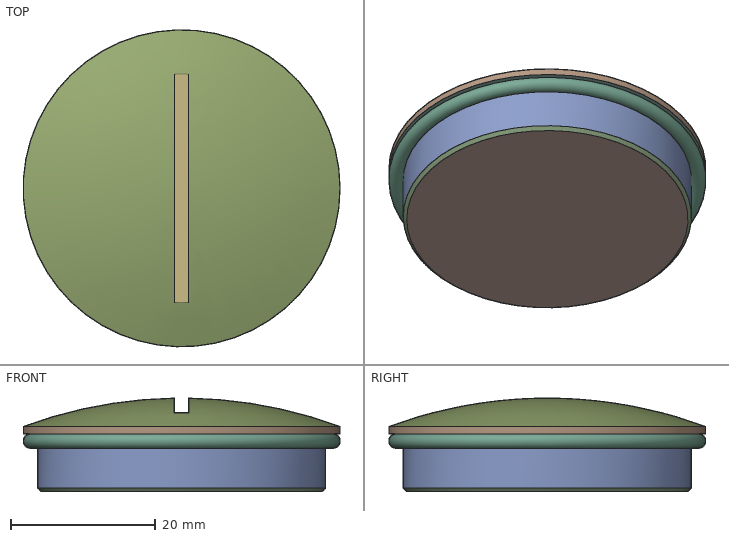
import cadquery as cq

cap_diameter = 44.0
total_height = 13.0
plug_diameter = 40.0
plug_height = 8.0
plug_chamfer = 0.5
rim_thickness = 1.0
slot_width = 2.0
slot_depth = 2.02

cap_radius = cap_diameter / 2
plug_radius = plug_diameter / 2
rim_top = plug_height + rim_thickness
dome_height = total_height - rim_top
dome_radius = (cap_radius**2 + dome_height**2) / (2 * dome_height)
ring_section_radius = (cap_radius - plug_radius) / 2
ring_center_radius = plug_radius + ring_section_radius
ring_center_z = plug_height - ring_section_radius


def make_plug_blank():
    """Chamfered plug with a cylindrical rim on top."""
    plug = cq.Workplane("XY").circle(plug_radius).extrude(plug_height)
    plug = plug.faces("<Z").chamfer(plug_chamfer)
    rim = cq.Workplane("XY").workplane(offset=plug_height).circle(cap_radius).extrude(rim_thickness)
    return plug.union(rim)


def make_dome():
    """Shallow spherical cap, revolved about Z, that sits on the rim."""
    half_radius = cap_radius / 2
    dome_center_z = total_height - dome_radius
    arc_middle_z = dome_center_z + (dome_radius**2 - half_radius**2) ** 0.5
    return (
        cq.Workplane("XZ")
        .moveTo(0, rim_top)
        .lineTo(cap_radius, rim_top)
        .threePointArc((half_radius, arc_middle_z), (0, total_height))
        .close()
        .revolve(360, (0, 0, 0), (0, 1, 0))
    )


def make_slot_cutter():
    """Flat-bottomed screwdriver slot along Y, which runs out through the dome."""
    return (
        cq.Workplane("XY")
        .workplane(offset=total_height - slot_depth)
        .rect(slot_width, cap_diameter)
        .extrude(slot_depth)
    )


def make_cover():
    """Screw cover: plug, rim and slotted dome in one piece."""
    return make_plug_blank().union(make_dome()).cut(make_slot_cutter())


def make_sealing_ring():
    """Round-section sealing ring around the plug."""
    return (
        cq.Workplane("XZ")
        .center(ring_center_radius, ring_center_z)
        .circle(ring_section_radius)
        .revolve(360, (-ring_center_radius, 0, 0), (-ring_center_radius, 1, 0))
    )


cover = make_cover().solids()
sealing_ring = make_sealing_ring()

result = cq.Compound.makeCompound([cover.val(), sealing_ring.val()])